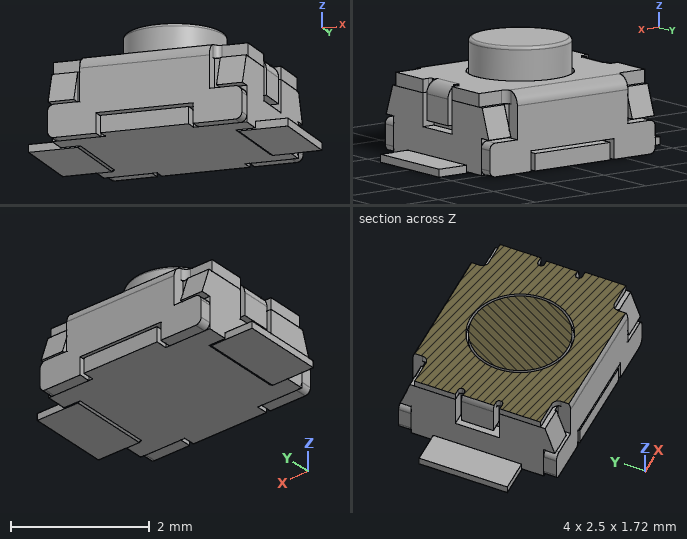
import cadquery as cq

body_length = 3.0
body_width = 2.5
body_bottom = 0.02
body_top = 1.22
switch_top = 1.72

sheet = 0.2
hole_diameter = 1.56
corner_length = 0.5
corner_depth = 0.25
corner_radius = 0.1
wall_shoulder = 0.52
wall_end_radius = 0.1
foot_notch_length = 1.5
foot_notch_top = 0.33

tab_width = 0.505
tab_bottom = 0.63
relief_width = 0.095
relief_depth = 0.15
relief_radius = 0.045
tab_slot_bottom = 0.52

foot_length = 1.36
foot_top = 0.28
wedge_length = 0.4
wedge_bottom = 0.57
wedge_top_inset = 0.18
wedge_bottom_inset = 0.025
button_diameter = 1.5
button_round = 0.05
switch_length = 4.0
terminal_width = 1.4
terminal_thickness = 0.12
terminal_inner_end = 1.2
terminal_bevel = 0.04

half_length = body_length / 2
half_width = body_width / 2
plate_bottom = body_top - sheet
inner_width = body_width - 2 * sheet
tab_slot_width = tab_width + 2 * relief_width
signs = (-1, 1)


def block(length, width, bottom, top, x=0.0, y=0.0):
    """Box centred on (x, y) that spans bottom to top."""
    return cq.Workplane("XY").box(length, width, top - bottom).translate((x, y, (bottom + top) / 2))


def plate_corner_cut(x_sign, y_sign):
    """Corner cut through the top plate, with its inner corner rounded."""
    cut = block(2 * corner_length, 2 * corner_depth, plate_bottom, body_top).edges("|Z").fillet(corner_radius)
    return cut.translate((x_sign * half_length, y_sign * half_width, 0))


def tab_relief(x_sign, y_sign):
    """Slot with a rounded inner end that frees a tab from the top plate."""
    y = y_sign * (tab_width + relief_width) / 2
    slot = block(2 * relief_depth, relief_width, plate_bottom, body_top)
    return slot.edges("|Z").fillet(relief_radius).translate((x_sign * half_length, y, 0))


def make_side_wall(y_sign):
    """Side wall with rounded shoulders at both ends and a notch for the base foot."""
    y = y_sign * (half_width - sheet / 2)
    lower = block(body_length, sheet, body_bottom, wall_shoulder, y=y).edges("|Y").fillet(wall_end_radius)
    upper = block(body_length - 2 * corner_length, sheet, wall_shoulder, plate_bottom, y=y)
    notch = block(foot_notch_length, sheet, body_bottom, foot_notch_top, y=y)
    return lower.union(upper).cut(notch)


def make_top_plate():
    """Top plate with rounded long edges, corner cuts, tab reliefs and the button hole."""
    plate = (
        cq.Workplane("YZ")
        .moveTo(-half_width, plate_bottom)
        .radiusArc((-inner_width / 2, body_top), sheet)
        .lineTo(inner_width / 2, body_top)
        .radiusArc((half_width, plate_bottom), sheet)
        .close()
        .extrude(half_length, both=True)
    )
    for x_sign in signs:
        plate = plate.cut(block(2 * sheet, tab_width, plate_bottom, body_top, x_sign * half_length))
        for y_sign in signs:
            plate = plate.cut(plate_corner_cut(x_sign, y_sign))
            plate = plate.cut(tab_relief(x_sign, y_sign))
    button_hole = cq.Workplane("XY").circle(hole_diameter / 2).extrude(body_top)
    return plate.cut(button_hole)


def make_tab(x_sign):
    """Tab that bends down from the top plate at one end."""
    outer = x_sign * half_length
    inner = x_sign * (half_length - sheet)
    return (
        cq.Workplane("XZ")
        .moveTo(inner, tab_bottom)
        .lineTo(outer, tab_bottom)
        .lineTo(outer, plate_bottom)
        .tangentArcPoint((inner, body_top), relative=False)
        .close()
        .extrude(tab_width / 2, both=True)
    )


def make_cover():
    """Bent sheet cover: top plate, two side walls and two end tabs."""
    cover = make_top_plate()
    for sign in signs:
        cover = cover.union(make_side_wall(sign))
        cover = cover.union(make_tab(sign))
    return cover


def make_wedge(x_sign, y_sign):
    """Sloped corner wedge on the long side of the base, below a corner cut of the cover."""
    inner = inner_width / 2
    profile = [
        (inner, wedge_bottom),
        (half_width - wedge_bottom_inset, wedge_bottom),
        (half_width - wedge_top_inset, plate_bottom),
        (inner, plate_bottom),
    ]
    wedge = cq.Workplane("YZ").polyline([(y_sign * y, z) for y, z in profile]).close()
    wedge = wedge.extrude(wedge_length / 2, both=True)
    return wedge.translate((x_sign * (half_length - wedge_length / 2), 0, 0))


def make_terminal(x_sign):
    """Flat solder terminal that runs under the base and ends in a bevel."""
    profile = [
        (switch_length / 2, 0),
        (switch_length / 2, terminal_thickness),
        (terminal_inner_end, terminal_thickness),
        (terminal_inner_end, body_bottom),
        (terminal_inner_end + terminal_bevel, 0),
    ]
    terminal = cq.Workplane("XZ").polyline([(x_sign * x, z) for x, z in profile]).close()
    return terminal.extrude(terminal_width / 2, both=True)


def make_button():
    """Round push button standing on the base, with a rounded rim."""
    button = cq.Workplane("XY").workplane(offset=plate_bottom).circle(button_diameter / 2)
    return button.extrude(switch_top - plate_bottom).faces(">Z").edges().fillet(button_round)


def make_base():
    """Base in one piece with its feet, corner wedges, terminals and button."""
    base = block(body_length, inner_width, body_bottom, plate_bottom)
    base = base.union(block(foot_length, body_width, body_bottom, foot_top))
    for x_sign in signs:
        tab_slot = block(2 * sheet, tab_slot_width, tab_slot_bottom, plate_bottom, x_sign * half_length)
        base = base.cut(tab_slot).union(make_terminal(x_sign))
        for y_sign in signs:
            base = base.union(make_wedge(x_sign, y_sign))
    return base.union(make_button())


cover = make_cover()
base = make_base()
result = cq.Compound.makeCompound([cover.solids().val(), base.solids().val()])